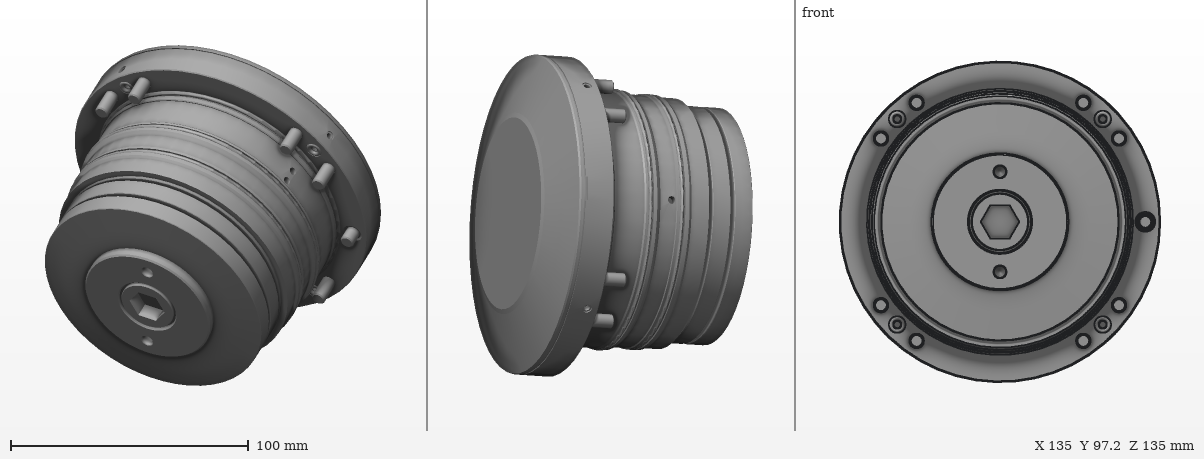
import cadquery as cq
import math

total_length = 97.2
cutter_margin = 1.4

flange_radius = 67.5
flange_edge_chamfer = 0.4
cover_flat_radius = 40.5
cover_break_width = 2.0
cover_break_depth = 0.7
cone_depth = 7.3
cover_rim_step = 0.3
cover_rim_height = 0.8
cover_seam_depth = 9.7
cover_seam_width = 0.7
cover_seam_cut = 0.4
seat_depth = 23.0

collar_radius = 55.1
collar_back_depth = 25.4
collar_front_depth = 28.0
collar_chamfer = 0.4
neck_radius = 54.3
neck_front_depth = 41.3
first_band_radius = 54.8
first_band_depths = (42.0, 46.8)
middle_radius = 53.3
middle_back_depth = 48.7
middle_front_depth = 55.9
second_band_radius = 53.9
second_band_depths = (56.2, 61.7)
front_wall_radius = 52.9
front_wall_back_depth = 62.9
body_front_depth = 70.7

cord_diameter = 1.9
seat_ring_radius = 56.0
first_ring_radius = 55.2
first_ring_depth = 44.1
second_ring_radius = 54.0
second_ring_depth = 58.6
ring_groove_width = 2.4
ring_groove_cut = 1.0

disc_radius = 50.1
disc_chamfer = 0.3
disc_thickness = 8.0
disc_back_depths = (73.6, 83.4)
rim_lip_front_depth = 72.0
dish_slope = 0.06
disc_back_relief = 0.5
disc_core_radius = 35.8
hub_radius = 28.9
hub_chamfer = 0.7

hub_bore_diameter = 26.0
hub_bore_chamfer = 0.5
hub_gap_depth = 2.0
center_screw_diameter = 24.0
center_screw_chamfer = 0.3
hex_across_flats = 14.0
hex_depth = 6.8
spanner_hole_diameter = 5.0
spanner_hole_chamfer = 0.3
spanner_hole_depth = 5.0
spanner_hole_offset = 21.0
drill_tip_angle = 118.0

fitting_circle_radius = 61.2
stud_diameter = 6.0
stud_tip_diameter = 4.9
screw_hole_diameter = 6.2
stud_hole_depth = 0.7
screw_length = 10.8
screw_spread_angle = 10.0
locating_pin_length = 6.0
locating_pin_hole_diameter = 7.0
locating_pin_hole_chamfer = 0.7
port_angles = (45.0, 135.0, 225.0, 315.0)
port_seat_diameter = 7.0
port_seat_depth = 1.2
port_ring_depth = 0.7
port_cord_diameter = 1.9
port_bore_diameter = 3.0
port_bore_depth = 8.1

plug_hole_diameter = 4.0
plug_recess = 0.5
plug_socket_diameter = 2.5
plug_socket_depth = 3.4
plug_depth = 18.0
raised_plug_angle = 45.0
raised_plug_depth = 16.3
side_hole_diameter = 3.2
side_hole_length = 5.4
neck_hole_depths = (33.5, 39.4)
neck_hole_angle = 45.0
middle_hole_depth = 53.7
middle_hole_angle = 180.0
pry_slot_length = 10.0
pry_slot_width = 0.8
pry_slot_cut = 0.7


def revolve(points):
    """Turn (radius, depth) points about the Y axis."""
    outline = [(radius, -depth) for radius, depth in points]
    return cq.Workplane("XY").polyline(outline).close().revolve(360, (0, 0, 0), (0, 1, 0))


def sleeve(inner, outer, back_depth, front_depth):
    return revolve([(inner, back_depth), (outer, back_depth), (outer, front_depth), (inner, front_depth)])


def at_depth(depth, x=0.0, z=0.0):
    """Workplane that faces -Y, centred on x and z at one depth."""
    return cq.Workplane("XZ", origin=(x, -depth, z))


def on_circle(angle):
    """X and Z of a place on the fitting circle."""
    turn = math.radians(angle)
    return fitting_circle_radius * math.cos(turn), fitting_circle_radius * math.sin(turn)


def o_ring(outer_radius, depth, cord, x=0.0, z=0.0):
    center = cq.Vector(x, -depth, z)
    ring = cq.Solid.makeTorus(outer_radius - cord / 2, cord / 2, center, cq.Vector(0, 1, 0))
    return cq.Workplane(obj=ring)


def radial_cylinder(diameter, outer_radius, length, depth, angle):
    """Cylinder along a radius, from outer_radius inward."""
    turn = math.radians(angle)
    outward = cq.Vector(math.cos(turn), 0, math.sin(turn))
    start = outward * outer_radius + cq.Vector(0, -depth, 0)
    return cq.Workplane(obj=cq.Solid.makeCylinder(diameter / 2, length, start, outward * -1))


def flange():
    blank = revolve([
        (0, 0),
        (cover_flat_radius, 0),
        (cover_flat_radius + cover_break_width, cover_break_depth),
        (flange_radius - cover_rim_step, cone_depth),
        (flange_radius, cone_depth + cover_rim_height),
        (flange_radius, seat_depth - flange_edge_chamfer),
        (flange_radius - flange_edge_chamfer, seat_depth),
        (0, seat_depth),
    ])
    seam = sleeve(flange_radius - cover_seam_cut, flange_radius + cutter_margin,
                  cover_seam_depth - cover_seam_width / 2, cover_seam_depth + cover_seam_width / 2)
    slot = cq.Workplane("XY").box(2 * pry_slot_cut, pry_slot_width, pry_slot_length)
    slot_depth = cover_seam_depth + (cover_seam_width + pry_slot_width) / 2
    return blank.cut(seam).cut(slot.translate((-flange_radius, -slot_depth, 0)))


def body():
    blank = revolve([
        (0, seat_depth),
        (neck_radius, seat_depth),
        (neck_radius, collar_back_depth),
        (collar_radius - collar_chamfer, collar_back_depth),
        (collar_radius, collar_back_depth + collar_chamfer),
        (collar_radius, collar_front_depth - collar_chamfer),
        (collar_radius - collar_chamfer, collar_front_depth),
        (neck_radius, collar_front_depth),
        (neck_radius, neck_front_depth),
        (first_band_radius, first_band_depths[0]),
        (first_band_radius, first_band_depths[1]),
        (middle_radius, middle_back_depth),
        (middle_radius, middle_front_depth),
        (second_band_radius, second_band_depths[0]),
        (second_band_radius, second_band_depths[1]),
        (front_wall_radius, front_wall_back_depth),
        (front_wall_radius, body_front_depth),
        (0, body_front_depth),
    ])
    for depth, ring_radius, band_radius in (
        (first_ring_depth, first_ring_radius, first_band_radius),
        (second_ring_depth, second_ring_radius, second_band_radius),
    ):
        groove = sleeve(band_radius - ring_groove_cut, band_radius + cutter_margin,
                        depth - ring_groove_width / 2, depth + ring_groove_width / 2)
        blank = blank.cut(groove).union(o_ring(ring_radius, depth, cord_diameter))
    seat_ring = o_ring(seat_ring_radius, seat_depth + cord_diameter / 2, cord_diameter)
    return blank.union(seat_ring)


def dished_front(depth, inner_radius):
    """Points of a front disc face: rim chamfer, then a shallow cone in to inner_radius."""
    face_radius = disc_radius - disc_chamfer
    return [
        (disc_radius, depth - disc_chamfer),
        (face_radius, depth),
        (inner_radius, depth + dish_slope * (face_radius - inner_radius)),
    ]


def disc_pack():
    outline = [(0, body_front_depth), (disc_radius, body_front_depth)]
    outline += dished_front(rim_lip_front_depth, disc_core_radius)
    for back_depth, inner_radius in zip(disc_back_depths, (disc_core_radius, hub_radius)):
        outline += [
            (disc_core_radius, back_depth - disc_back_relief),
            (disc_radius - disc_chamfer, back_depth - disc_chamfer / 2),
            (disc_radius, back_depth + disc_chamfer / 2),
        ]
        outline += dished_front(back_depth + disc_thickness, inner_radius)
    outline += [
        (hub_radius, total_length - hub_chamfer),
        (hub_radius - hub_chamfer, total_length),
        (0, total_length),
    ]
    return revolve(outline)


def add_hub_fittings(part):
    gap_floor = total_length - hub_gap_depth
    bore_radius = hub_bore_diameter / 2
    bore = revolve([
        (0, gap_floor),
        (bore_radius, gap_floor),
        (bore_radius, total_length - hub_bore_chamfer),
        (bore_radius + hub_bore_chamfer, total_length),
        (0, total_length),
    ])
    screw = at_depth(gap_floor).circle(center_screw_diameter / 2).extrude(hub_gap_depth)
    screw = screw.faces("<Y").chamfer(center_screw_chamfer)
    hex_across_corners = hex_across_flats / math.cos(math.pi / 6)
    socket = at_depth(total_length).polygon(6, hex_across_corners).extrude(-hex_depth)
    part = part.cut(bore).union(screw).cut(socket)

    hole_radius = spanner_hole_diameter / 2
    tip_height = hole_radius / math.tan(math.radians(drill_tip_angle / 2))
    hole = revolve([
        (0, total_length - spanner_hole_depth - tip_height),
        (hole_radius, total_length - spanner_hole_depth),
        (hole_radius, total_length - spanner_hole_chamfer),
        (hole_radius + spanner_hole_chamfer, total_length),
        (0, total_length),
    ])
    for side in (-1, 1):
        part = part.cut(hole.translate((0, 0, side * spanner_hole_offset)))
    return part


def add_stud(part, angle, length, hole_diameter, hole_chamfer=0.0):
    """Screw or pin in a clearance hole of the flange, standing out by the given length."""
    x, z = on_circle(angle)
    hole = at_depth(seat_depth, x, z).circle(hole_diameter / 2).extrude(-stud_hole_depth)
    if hole_chamfer:
        mouth = at_depth(seat_depth, x, z).circle(hole_diameter / 2 + hole_chamfer)
        hole = hole.union(mouth.extrude(-hole_chamfer, taper=45))
    stud = at_depth(seat_depth - stud_hole_depth, x, z).circle(stud_diameter / 2)
    stud = stud.extrude(stud_hole_depth + length)
    stud = stud.faces("<Y").chamfer((stud_diameter - stud_tip_diameter) / 2)
    return part.cut(hole).union(stud)


def add_port(part, angle):
    """Sealed port: a seat with an O-ring around the bore."""
    x, z = on_circle(angle)
    seat = at_depth(seat_depth, x, z).circle(port_seat_diameter / 2).extrude(-port_seat_depth)
    bore = at_depth(seat_depth, x, z).circle(port_bore_diameter / 2).extrude(-port_bore_depth)
    ring = o_ring(port_seat_diameter / 2, seat_depth - port_ring_depth, port_cord_diameter, x, z)
    return part.cut(seat).union(ring).cut(bore)


def add_plug(part, angle):
    """Plugged radial hole in the flange rim."""
    depth = raised_plug_depth if angle == raised_plug_angle else plug_depth
    recess = radial_cylinder(plug_hole_diameter, flange_radius, plug_recess, depth, angle)
    socket = radial_cylinder(plug_socket_diameter, flange_radius, plug_socket_depth, depth, angle)
    return part.cut(recess).cut(socket)


result = flange().union(body()).union(disc_pack())
result = add_hub_fittings(result)

for port_angle in port_angles:
    result = add_port(result, port_angle)
    result = add_plug(result, port_angle)
    for side in (-1, 1):
        result = add_stud(result, port_angle + side * screw_spread_angle, screw_length, screw_hole_diameter)
result = add_stud(result, 0.0, locating_pin_length, locating_pin_hole_diameter,
                  locating_pin_hole_chamfer)

side_holes = [(depth, neck_hole_angle) for depth in neck_hole_depths]
side_holes.append((middle_hole_depth, middle_hole_angle))
for hole_depth, hole_angle in side_holes:
    hole = radial_cylinder(side_hole_diameter, collar_radius, side_hole_length, hole_depth, hole_angle)
    result = result.cut(hole)